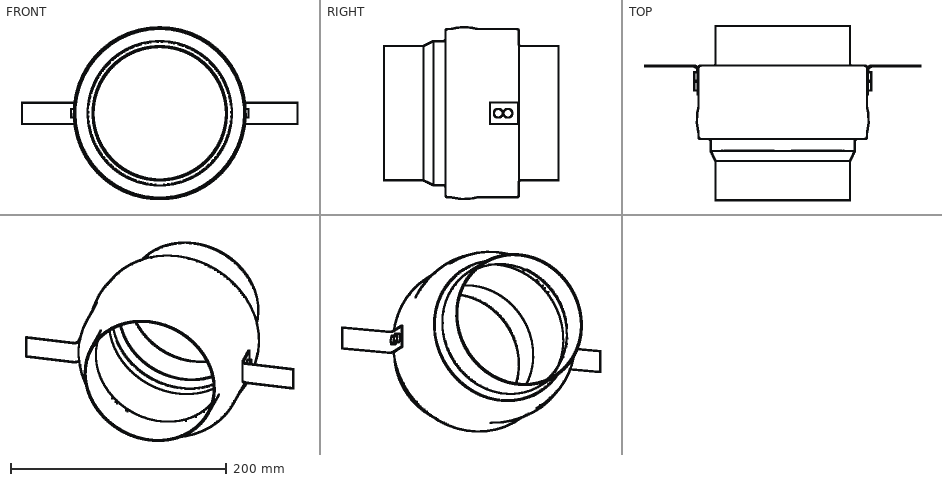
import cadquery as cq
import math

HOUSING_WALL = 1.0
STRAP_THICKNESS = 1.0
OVERALL_WIDTH = 256.0
OVERALL_LENGTH = 162.0
TUBE_RADIUS = 62.5
COLLAR_RADIUS = 67.0
DRUM_RADIUS = 78.3
BULGE_DIAMETER = 160.0
BULGE_RADIUS = BULGE_DIAMETER / 2
CORNER_RADIUS = 2.3
NECK_RADIUS = 1.5

DRUM_BACK_Y = 44.3
DRUM_FRONT_Y = -24.0
BULGE_BACK_Y = 5.6
BULGE_FRONT_Y = -18.7
COLLAR_FRONT_Y = -35.0
FLARE_FRONT_Y = -44.5

STRAP_HEIGHT = 20.0
STRAP_BACK_Y = DRUM_BACK_Y
STRAP_FRONT_Y = 17.5
BEND_INNER_RADIUS = 3.5
RIVET_RADIUS = 4.0
RIVET_HEIGHT = 2.8
RIVET_Y = (25.0, 34.0)

DIAGONAL = math.sqrt(0.5)

AXIAL_PLANE = cq.Plane(origin=(0, 0, 0), xDir=(0, 0, 1), normal=(-1, 0, 0))


def revolve_profile(profile):
    return profile.revolve(360, (0, 0, 0), (0, 1, 0))


def housing_profile(inset):
    """Closed half-profile, shrunk by inset from the outside surface."""
    tube = TUBE_RADIUS - inset
    collar = COLLAR_RADIUS - inset
    drum = DRUM_RADIUS - inset
    bulge = BULGE_RADIUS - inset
    corner = CORNER_RADIUS - inset
    back = DRUM_BACK_Y - inset
    front = DRUM_FRONT_Y + inset
    half_length = OVERALL_LENGTH / 2
    flare_angle = math.atan2(COLLAR_RADIUS - TUBE_RADIUS, COLLAR_FRONT_Y - FLARE_FRONT_Y)
    flare_shift = inset * math.tan(flare_angle / 2)
    near = 1 - DIAGONAL
    return (
        cq.Workplane(AXIAL_PLANE)
        .moveTo(0, -half_length)
        .lineTo(tube, -half_length)
        .lineTo(tube, FLARE_FRONT_Y + flare_shift)
        .lineTo(collar, COLLAR_FRONT_Y + flare_shift)
        .lineTo(collar, front)
        .lineTo(drum - corner, front)
        .threePointArc((drum - near * corner, front + near * corner), (drum, front + corner))
        .lineTo(drum, BULGE_FRONT_Y)
        .threePointArc((bulge, (BULGE_FRONT_Y + BULGE_BACK_Y) / 2), (drum, BULGE_BACK_Y))
        .lineTo(drum, back - corner)
        .threePointArc((drum - near * corner, back - near * corner), (drum - corner, back))
        .lineTo(tube, back)
        .lineTo(tube, half_length)
        .lineTo(0, half_length)
        .close()
    )


def make_neck_fillet(pipe_radius, end_y, direction):
    """Ring filling the outer corner between a pipe and a drum end facing direction along Y."""
    near = (1 - DIAGONAL) * NECK_RADIUS
    root_radius = pipe_radius - HOUSING_WALL / 2
    root_y = end_y - direction * HOUSING_WALL / 2
    section = (
        cq.Workplane(AXIAL_PLANE)
        .moveTo(root_radius, root_y)
        .lineTo(pipe_radius + NECK_RADIUS, root_y)
        .lineTo(pipe_radius + NECK_RADIUS, end_y)
        .threePointArc(
            (pipe_radius + near, end_y + direction * near),
            (pipe_radius, end_y + direction * NECK_RADIUS),
        )
        .lineTo(root_radius, end_y + direction * NECK_RADIUS)
        .close()
    )
    return revolve_profile(section)


def make_housing():
    """Thin-walled shell, sharp inside the necks and rounded outside them."""
    outside = revolve_profile(housing_profile(0))
    inside = revolve_profile(housing_profile(HOUSING_WALL))
    front_fillet = make_neck_fillet(COLLAR_RADIUS, DRUM_FRONT_Y, -1)
    back_fillet = make_neck_fillet(TUBE_RADIUS, DRUM_BACK_Y, 1)
    return outside.cut(inside).union(front_fillet).union(back_fillet)


def make_strap(side):
    """Bent strap with two rivet heads; side is +1 or -1 along X."""
    outer_x = DRUM_RADIUS + STRAP_THICKNESS
    tip_x = OVERALL_WIDTH / 2
    wing_front_y = STRAP_BACK_Y - STRAP_THICKNESS
    bend_x = outer_x + BEND_INNER_RADIUS
    bend_y = wing_front_y - BEND_INNER_RADIUS
    bend_outer_radius = BEND_INNER_RADIUS + STRAP_THICKNESS
    inner_mid = (bend_x - DIAGONAL * BEND_INNER_RADIUS, bend_y + DIAGONAL * BEND_INNER_RADIUS)
    outer_mid = (bend_x - DIAGONAL * bend_outer_radius, bend_y + DIAGONAL * bend_outer_radius)
    strap = (
        cq.Workplane("XY")
        .moveTo(DRUM_RADIUS, STRAP_FRONT_Y)
        .lineTo(outer_x, STRAP_FRONT_Y)
        .lineTo(outer_x, bend_y)
        .threePointArc(inner_mid, (bend_x, wing_front_y))
        .lineTo(tip_x, wing_front_y)
        .lineTo(tip_x, STRAP_BACK_Y)
        .lineTo(bend_x, STRAP_BACK_Y)
        .threePointArc(outer_mid, (DRUM_RADIUS, bend_y))
        .close()
        .extrude(STRAP_HEIGHT / 2, both=True)
    )
    rivets = (
        cq.Workplane("YZ", origin=(outer_x, 0, 0))
        .pushPoints([(y, 0) for y in RIVET_Y])
        .circle(RIVET_RADIUS)
        .extrude(RIVET_HEIGHT)
    )
    strap = strap.union(rivets)
    return strap if side > 0 else strap.mirror("YZ")


housing = make_housing()
straps = [make_strap(side) for side in (-1, 1)]

result = cq.Compound.makeCompound([housing.val(), *[strap.val() for strap in straps]])